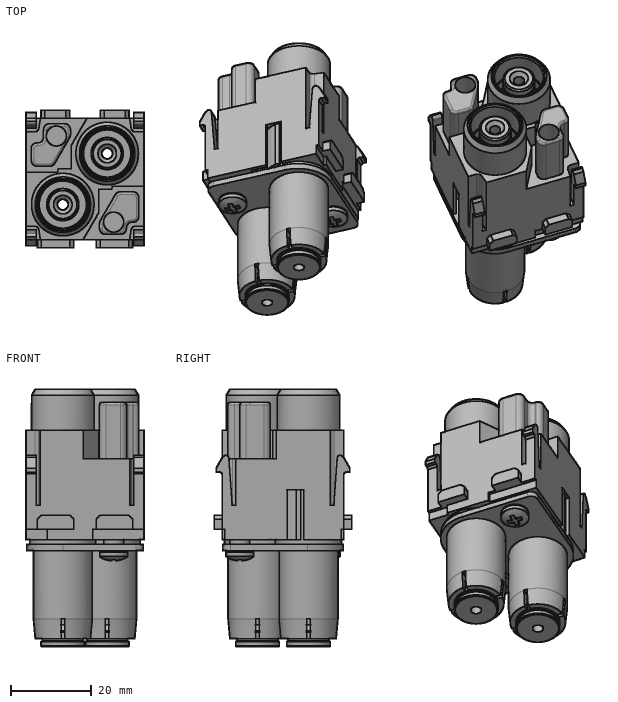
import cadquery as cq
import math

total_height = 64.1
tube_bottom = 2.05
tube_taper_top = 7.0
flange_bottom = 24.0
flange_top = 25.5
block_bottom = 26.65
ledge_top = 29.2
step_floor = 46.8
block_top = 53.9
tower_top = 60.8

block_width = 29.35
block_length = 30.25

contact_x = 5.5
contact_y = 6.35
contact_axes = [(-contact_x, -contact_y), (contact_x, contact_y)]

tube_diameter = 14.7
tube_end_diameter = 13.8
neck_diameter = 16.5
collar_diameter = 15.6
collar_rim_diameter = 13.8
collar_chamfer_height = 1.55
socket_floor_diameter = 11.7
socket_step_height = 3.2
socket_diameter = 12.2
socket_mouth_diameter = 12.95
socket_mouth_depth = 0.4
tube_slot_width = 0.9

flange_width = 29.0
flange_length = 30.0
flange_small_radius = 1.9

step_start_y = 1.7
step_jog_start_x = -6.8
step_jog_end_x = -6.65
step_jog_y = 2.55
step_corner_x = -3.4
step_corner_y = 8.4
slope_angle = 30.0

latch_width = 2.55
latch_foot = 35.2
latch_foot_thickness = 2.5
latch_top_thickness = 1.65
latch_top = 47.7
latch_reach = 1.5
notch_depth = 3.4
notch_width_inner = 3.1
notch_width_outer = 3.6
notch_fillet = 1.1
nose_top = 44.5
nose_bottom = 43.4
nose_tip_width = 0.6
nose_rise = 0.1
nose_root_drop = 0.4
latch_slope_end = 47.1
latch_crest = 0.8
latch_back_mid = (1.35, 47.5)
latch_back_end = 47.0

pad_reach = 2.0
pad_bottom = ledge_top
pad_top = 32.75
pad_chamfer = 0.95
front_pad_width = 9.05
front_pad_x = 7.3
back_pad_width = 7.2
back_pad_x = 7.4

ledge_depth = 0.7
ledge_gap_start = -9.4
ledge_gap_end = 1.9

window_start = 1.0
window_end = 5.1
window_top = 39.05
window_wall = 0.9
window_sleeve_radius = 9.1
window_sleeve_end = 4.4
window_sleeve_flat = 0.6
window_pocket_x = -9.6
window_pocket_y = 3.2

tower_left = -13.4
tower_right = -3.6
tower_inner_x = -10.3
tower_front = 3.15
tower_back = 13.8
left_tower_shoulder_y = 9.0
right_tower_shoulder_y = 10.7
tower_bend_y = 10.7
tower_fillet = 1.6
tower_shoulder_fillet = 1.4
tower_rim_fillet = 0.65
tower_hole_depth = 12.8

screw_x = -7.1
screw_y = 10.7
screw_diameter = 5.0
screw_head_diameter = 7.0
screw_head_shoulder = 23.6
screw_head_edge = 0.1
screw_head_bottom = 22.5
screw_dome_bottom = 21.35
screw_cross_width = 1.0
screw_cross_depth = 0.3

contact_diameter = 8.0
contact_tip_diameter = 7.8
contact_tip_rim_diameter = 7.0
contact_tip_bottom = 60.9
contact_top = 63.1
contact_tip_chamfer = 0.4
contact_foot_diameter = 10.9
contact_groove_diameter = 10.25
contact_collar_top = 1.3
contact_groove_bottom = 1.55
contact_foot_top = 3.7
contact_cone_diameter = 10.65
contact_cone_bottom = 4.05
contact_cone_top = 5.5
contact_foot_chamfer = 0.25
contact_hole_diameter = 2.6
countersink_diameter = 4.6
countersink_depth = 0.95


def cylinder(diameter, bottom, top, x, y):
    return cq.Workplane("XY", origin=(x, y, bottom)).circle(diameter / 2).extrude(top - bottom)


def box(x0, x1, y0, y1, z0, z1):
    return cq.Workplane("XY").box(x1 - x0, y1 - y0, z1 - z0, centered=False).translate((x0, y0, z0))


def prism(outline, bottom, top):
    return cq.Workplane("XY", origin=(0, 0, bottom)).polyline(outline).close().extrude(top - bottom)


def fillet_upright(shape, x, y, z, radius):
    """Round the upright edge nearest to the point (x, y, z)."""
    return shape.edges(cq.selectors.NearestToPointSelector((x, y, z))).fillet(radius)


def turned(points, x, y):
    """Solid of revolution about the vertical line through (x, y); points are (radius, height)."""
    return cq.Workplane("XZ").polyline(points).close().revolve().translate((x, y, 0))


def half_turn(shape):
    return shape.rotate((0, 0, 0), (0, 0, 1), 180)


def with_half_turn(shape):
    return shape.union(half_turn(shape))


def make_cross(width, length, height):
    bar = cq.Workplane("XY").rect(width, length).extrude(height)
    return bar.union(bar.rotate((0, 0, 0), (0, 0, 1), 90))


def make_step_cut():
    """Lowered corner around a tower, open to the side and the back."""
    side = -block_width / 2
    back = block_length / 2
    slope_end_x = step_corner_x + (back - step_corner_y) * math.tan(math.radians(slope_angle))
    outline = [
        (side, step_start_y), (step_jog_start_x, step_start_y), (step_jog_end_x, step_jog_y),
        (step_corner_x, step_jog_y), (step_corner_x, step_corner_y), (slope_end_x, back), (side, back),
    ]
    return prism(outline, step_floor, block_top)


def make_tower(shoulder_y):
    """Coding tower at -X, +Y; shoulder_y is where its stepped side widens."""
    slope_run = (tower_bend_y - tower_front) * math.tan(math.radians(slope_angle))
    corners = [
        (tower_left, tower_front), (tower_right - slope_run, tower_front), (tower_right, tower_bend_y),
        (tower_right, tower_back), (tower_inner_x, tower_back),
    ]
    shoulders = [(tower_inner_x, shoulder_y), (tower_left, shoulder_y)]
    tower = prism(corners + shoulders, step_floor, tower_top)
    middle = (step_floor + tower_top) / 2
    for x, y in shoulders:
        tower = fillet_upright(tower, x, y, middle, tower_shoulder_fillet)
    for x, y in corners:
        tower = fillet_upright(tower, x, y, middle, tower_fillet)
    return tower.faces(">Z").edges().fillet(tower_rim_fillet)


def make_notch():
    """Open corner at -X, -Y in which a latch stands."""
    left = -block_width / 2
    front = -block_length / 2
    outline = [
        (left, front), (left + notch_width_outer, front),
        (left + notch_width_inner, front + notch_depth), (left, front + notch_depth),
    ]
    notch = prism(outline, latch_foot, block_top)
    middle = (latch_foot + block_top) / 2
    return fillet_upright(notch, left + notch_width_inner, front + notch_depth, middle, notch_fillet)


def make_latch():
    """Tapered springy beam with a snap nose and a rounded top, in the -X, -Y corner."""
    front = -block_length / 2
    nose_tip = front - latch_reach
    mid_depth, mid_height = latch_back_mid
    profile = (
        cq.Workplane("YZ", origin=(-block_width / 2, 0, 0))
        .moveTo(front, latch_foot)
        .lineTo(front, nose_bottom - nose_root_drop)
        .lineTo(front - nose_tip_width, nose_bottom + nose_rise)
        .lineTo(nose_tip, nose_bottom)
        .lineTo(nose_tip, nose_top)
        .lineTo(front, latch_slope_end)
        .lineTo(front + latch_crest, latch_top)
        .threePointArc((front + mid_depth, mid_height), (front + latch_top_thickness, latch_back_end))
        .lineTo(front + latch_foot_thickness, latch_foot)
        .close()
    )
    return profile.extrude(latch_width)


def at_four_corners(shape):
    pair = shape.union(shape.mirror("YZ"))
    return pair.union(pair.mirror("XZ"))


def make_pads(width, x, face_direction):
    pads = cq.Workplane("XY")
    root = face_direction * block_length / 2
    tip = root + face_direction * pad_reach
    for center in (-x, x):
        pad = box(center - width / 2, center + width / 2, min(root, tip), max(root, tip), pad_bottom, pad_top)
        pads = pads.add(pad.edges("|Y and >Z").chamfer(pad_chamfer))
    return pads.combine()


def make_ledges():
    face = -block_length / 2
    side = block_width / 2
    left = box(-side, ledge_gap_start, face, face + ledge_depth, block_bottom, ledge_top)
    right = box(ledge_gap_end, side, face, face + ledge_depth, block_bottom, ledge_top)
    return with_half_turn(left.union(right))


def make_windows():
    """Slots through the side walls, each with a pocket behind it that curves around a contact sleeve."""
    side = -block_width / 2
    inner = side + window_wall
    slot = box(side, inner, -window_end, -window_start, block_bottom, window_top)
    pocket = box(inner, window_pocket_x, -window_end, window_pocket_y, block_bottom, window_top)
    sleeve = cylinder(2 * window_sleeve_radius, block_bottom, window_top, -contact_x, -contact_y)
    sleeve = sleeve.intersect(box(
        side + window_sleeve_flat, 0, -window_sleeve_end, window_pocket_y, block_bottom, window_top))
    neck = cylinder(neck_diameter, block_bottom, window_top, -contact_x, -contact_y)
    return with_half_turn(slot.union(pocket).cut(sleeve).cut(neck))


def make_flange():
    """Plate whose big rounded corners are concentric with the contacts."""
    big_radius = flange_width / 2 - contact_x
    side = flange_width / 2
    end = flange_length / 2
    middle = (flange_bottom + flange_top) / 2
    plate = box(-side, side, -end, end, flange_bottom, flange_top)
    for sign in (-1, 1):
        plate = fillet_upright(plate, sign * side, sign * end, middle, big_radius)
        plate = fillet_upright(plate, sign * side, -sign * end, middle, flange_small_radius)
    return plate


def make_screw():
    """Screw form on the housing: a domed head below the flange and a shaft up to the block."""
    radius = screw_head_diameter / 2
    dome_height = screw_head_bottom - screw_dome_bottom
    sphere_radius = (radius ** 2 + dome_height ** 2) / (2 * dome_height)
    sphere_center = screw_dome_bottom + sphere_radius
    half_angle = math.asin(radius / sphere_radius) / 2
    dome_middle = (
        sphere_radius * math.sin(half_angle), sphere_center - sphere_radius * math.cos(half_angle))
    head = (
        cq.Workplane("XZ")
        .moveTo(0, flange_bottom)
        .lineTo(radius - screw_head_edge, flange_bottom)
        .lineTo(radius, screw_head_shoulder)
        .lineTo(radius, screw_head_bottom)
        .threePointArc(dome_middle, (0, screw_dome_bottom))
        .close()
        .revolve()
    )
    cross = make_cross(screw_cross_width, screw_head_diameter, screw_cross_depth)
    head = head.cut(cross.translate((0, 0, screw_dome_bottom)))
    shaft = cylinder(screw_diameter, flange_top, block_bottom, screw_x, screw_y)
    return head.translate((screw_x, screw_y, 0)).union(shaft)


def make_tube(x, y):
    radius = tube_diameter / 2
    return turned([
        (0, tube_bottom), (tube_end_diameter / 2, tube_bottom), (radius, tube_taper_top),
        (radius, flange_bottom), (0, flange_bottom)], x, y)


def make_collar(x, y):
    radius = collar_diameter / 2
    return turned([
        (0, block_top), (radius, block_top), (radius, total_height - collar_chamfer_height),
        (collar_rim_diameter / 2, total_height), (0, total_height)], x, y)


def make_bore(x, y):
    """Space inside the tube for the contact, with the plug socket above it."""
    foot = contact_foot_diameter / 2
    stem = contact_diameter / 2
    floor = socket_floor_diameter / 2
    wall = socket_diameter / 2
    step = block_top + socket_step_height
    return turned([
        (0, tube_bottom), (foot, tube_bottom), (foot, contact_cone_top), (stem, contact_cone_top),
        (stem, block_top), (floor, block_top), (floor, step), (wall, step),
        (wall, total_height - socket_mouth_depth), (socket_mouth_diameter / 2, total_height),
        (0, total_height)], x, y)


def make_tube_slots(x, y):
    cross = make_cross(tube_slot_width, tube_diameter, tube_taper_top - tube_bottom)
    return cross.translate((x, y, tube_bottom))


def make_housing():
    side = block_width / 2
    end = block_length / 2
    body = box(-side, side, -end, end, block_bottom, block_top)
    body = body.cut(with_half_turn(make_step_cut()))
    body = body.cut(at_four_corners(make_notch()))
    body = body.cut(make_ledges())
    body = body.cut(make_windows())
    body = body.union(at_four_corners(make_latch()))
    body = body.union(make_pads(front_pad_width, front_pad_x, -1))
    body = body.union(make_pads(back_pad_width, back_pad_x, 1))
    body = body.union(make_flange())
    for x, y in contact_axes:
        body = body.union(make_tube(x, y))
        body = body.union(cylinder(neck_diameter, flange_top, block_bottom, x, y))
        body = body.union(make_collar(x, y))
    body = body.union(make_tower(left_tower_shoulder_y))
    body = body.union(half_turn(make_tower(right_tower_shoulder_y)))
    body = body.union(with_half_turn(make_screw()))
    hole = cylinder(screw_diameter, tower_top - tower_hole_depth, tower_top, screw_x, screw_y)
    body = body.cut(with_half_turn(hole))
    for x, y in contact_axes:
        body = body.cut(make_tube_slots(x, y)).cut(make_bore(x, y))
    return body


def make_contact(x, y):
    """Turned contact with a foot below the tube and a countersunk tip in the socket."""
    foot = contact_foot_diameter / 2
    groove = contact_groove_diameter / 2
    cone = contact_cone_diameter / 2
    stem = contact_diameter / 2
    tip = contact_tip_diameter / 2
    hole = contact_hole_diameter / 2
    return turned([
        (hole, 0), (foot - contact_foot_chamfer, 0), (foot, contact_foot_chamfer),
        (foot, contact_collar_top), (groove, contact_groove_bottom), (groove, tube_bottom),
        (foot, tube_bottom), (foot, contact_foot_top), (cone, contact_foot_top),
        (cone, contact_cone_bottom), (stem, contact_cone_top), (stem, contact_tip_bottom),
        (tip, contact_tip_bottom), (tip, contact_top - contact_tip_chamfer),
        (contact_tip_rim_diameter / 2, contact_top), (countersink_diameter / 2, contact_top),
        (hole, contact_top - countersink_depth)], x, y)


housing = make_housing()
contacts = [make_contact(x, y).val() for x, y in contact_axes]
result = cq.Compound.makeCompound([housing.val(), *contacts])